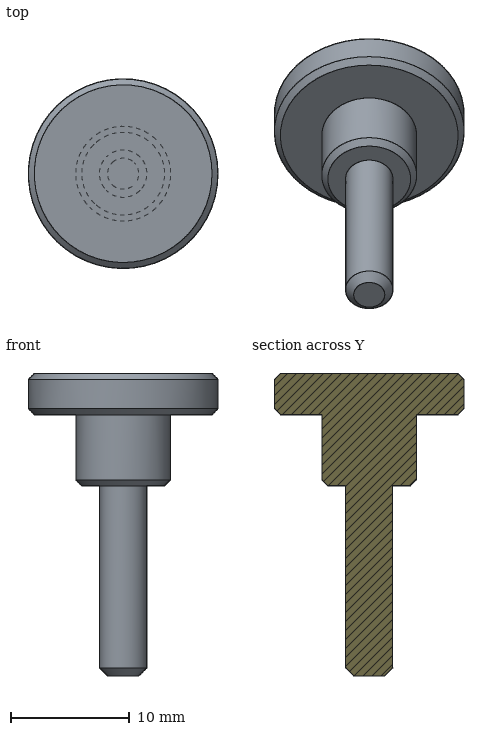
import cadquery as cq

total_length = 25.5

head_diameter = 16.0
head_thickness = 3.5
head_chamfer = 0.5

shoulder_diameter = head_diameter / 2
shoulder_length = 6.0
shoulder_chamfer = 0.5

pin_diameter = head_diameter / 4
pin_length = total_length - head_thickness - shoulder_length
pin_chamfer = 0.7


def cylinder(diameter, length, bottom):
    """Upright cylinder on the Z axis, starting at height bottom."""
    return cq.Workplane("XY").workplane(offset=bottom).circle(diameter / 2).extrude(length)


shoulder_bottom = pin_length
head_bottom = shoulder_bottom + shoulder_length

pin = cylinder(pin_diameter, pin_length, 0).faces("<Z").chamfer(pin_chamfer)
shoulder = cylinder(shoulder_diameter, shoulder_length, shoulder_bottom).faces("<Z").chamfer(shoulder_chamfer)
head = cylinder(head_diameter, head_thickness, head_bottom).faces("<Z or >Z").chamfer(head_chamfer)

result = pin.union(shoulder).union(head)